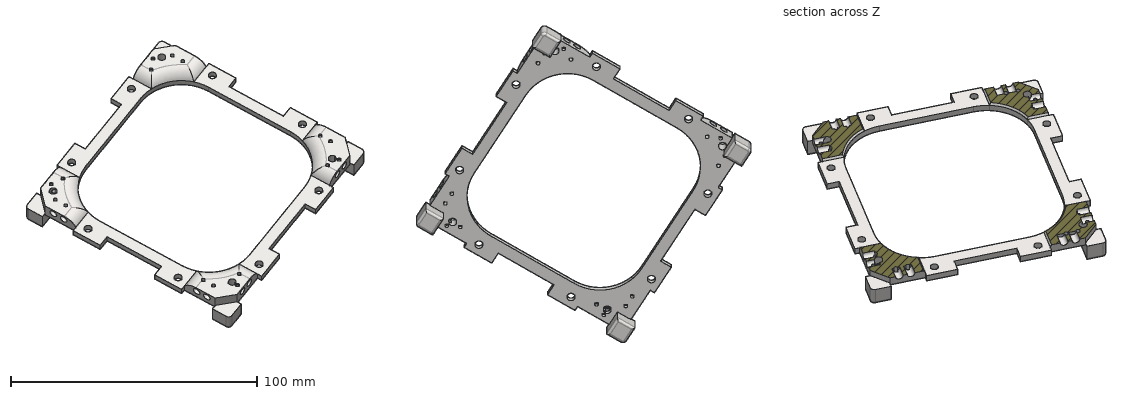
import cadquery as cq
import math

SIDE = 99.8
HALF = SIDE / 2
PLATE_HEIGHT = 3.0

OPENING_MARGIN = 10.0
OPENING_HALF = HALF - OPENING_MARGIN
OPENING_RADIUS = 20.0
OPENING_CENTRE = OPENING_HALF - OPENING_RADIUS

CORNER_INSET = 2.0
LEG_SIZE = 8.5
TAB_START = 23.5
TAB_LENGTH = 13.2
RECESS_HALF_LENGTH = HALF - TAB_START - TAB_LENGTH
RECESS_DEPTH = 5.1

PAD_HEIGHT = 6.3
ROLL_RADIUS = 6.5
ROLL_DROP = PAD_HEIGHT - PLATE_HEIGHT
ROLL_WIDTH = math.sqrt(ROLL_RADIUS**2 - (ROLL_RADIUS - ROLL_DROP) ** 2)

LEG_TOP = 1.1
LEG_BOTTOM = -7.0
LEG_CORNER_RADIUS = 1.7
LEG_FOOT_RADIUS = 1.1

HOLE_DIAMETER = 3.2
PIN_DIAMETER = 1.5
TAB_HOLE_INSET = 4.2
TAB_HOLE_SETBACK = 27.9
SIDE_HOLE_SETBACKS = (12.5, 17.5)
SIDE_HOLE_HEIGHT = 3.9
SIDE_HOLE_DEPTH = 5.0

PIN_INSET = 6.9
SIDE_PINS = [(4.5, 12.5), (PIN_INSET, 17.5)]
LEFT_PINS = SIDE_PINS + [(10.2, PIN_INSET), (15.3, PIN_INSET)]
RIGHT_PINS = SIDE_PINS + [(setback, PIN_INSET) for setback in SIDE_HOLE_SETBACKS]
LARGE_HOLE_INSET = 7.1
LARGE_HOLE_SETBACKS = {
    (-1, -1): 10.0,
    (-1, 1): 10.0,
    (1, -1): 12.5,
    (1, 1): 13.7,
}


def block(x_range, y_range, z_range):
    """Box between the given limits."""
    size = [high - low for low, high in (x_range, y_range, z_range)]
    origin = (x_range[0], y_range[0], z_range[0])
    return cq.Workplane("XY").box(*size, centered=False).translate(origin)


def upright_holes(points, diameter):
    """Vertical drills from the underside of the plate to the top of the pads."""
    return cq.Workplane("XY").pushPoints(points).circle(diameter / 2).extrude(PAD_HEIGHT)


def four_turns(shape):
    """The same shape repeated at every quarter turn about Z."""
    return [shape.rotate((0, 0, 0), (0, 0, 1), 90 * turn) for turn in range(4)]


def opening():
    """Rounded square prism that clears the middle of the frame."""
    prism = cq.Workplane("XY").rect(2 * OPENING_HALF, 2 * OPENING_HALF).extrude(PAD_HEIGHT)
    return prism.edges("|Z").fillet(OPENING_RADIUS)


def plate():
    """Thin frame with a recess in the middle of each side and stepped corners."""
    frame = cq.Workplane("XY").rect(SIDE, SIDE).extrude(PLATE_HEIGHT)
    recess = block(
        (HALF - RECESS_DEPTH, HALF),
        (-RECESS_HALF_LENGTH, RECESS_HALF_LENGTH),
        (0, PLATE_HEIGHT),
    )
    corner = block((HALF - TAB_START, HALF), (HALF - TAB_START, HALF), (0, PLATE_HEIGHT))
    for cutter in four_turns(recess.union(corner)):
        frame = frame.cut(cutter)
    return frame.cut(opening())


def roll_profile(edge, outer):
    """Pad section: full height at `outer`, falling in a tangent arc to plate height at `edge`."""
    crest = edge + ROLL_WIDTH
    half_angle = math.asin(ROLL_WIDTH / ROLL_RADIUS) / 2
    middle = (
        crest - ROLL_RADIUS * math.sin(half_angle),
        PAD_HEIGHT - ROLL_RADIUS * (1 - math.cos(half_angle)),
    )
    return (
        cq.Workplane("XZ")
        .moveTo(edge, 0)
        .lineTo(edge, PLATE_HEIGHT)
        .threePointArc(middle, (crest, PAD_HEIGHT))
        .lineTo(outer, PAD_HEIGHT)
        .lineTo(outer, 0)
        .close()
    )


def pad():
    """Raised pad of the +X +Y corner."""
    face = HALF - CORNER_INSET
    along_x = roll_profile(HALF - TAB_START, face).extrude(-face)
    along_y = along_x.rotate((0, 0, 0), (0, 0, 1), 90).mirror("YZ")
    around_opening = (
        roll_profile(OPENING_RADIUS, SIDE)
        .revolve(360, (0, 0, 0), (0, 1, 0))
        .translate((OPENING_CENTRE, OPENING_CENTRE, 0))
    )
    facet_start = HALF - LEG_SIZE
    facet_cutter = (
        cq.Workplane("XY")
        .workplane(offset=LEG_TOP)
        .polyline([(facet_start, face), (face, face), (face, facet_start)])
        .close()
        .extrude(PAD_HEIGHT - LEG_TOP)
    )
    return along_x.intersect(along_y).intersect(around_opening).cut(facet_cutter)


def leg():
    """Square leg of the +X +Y corner, with a rounded outer corner and a rounded foot."""
    span = (HALF - LEG_SIZE, HALF)
    body = block(span, span, (LEG_BOTTOM, LEG_TOP))
    body = body.edges("|Z and >X and >Y").fillet(LEG_CORNER_RADIUS)
    return body.faces("<Z").edges().fillet(LEG_FOOT_RADIUS)


def side_holes():
    """Blind holes driven inwards along X into both pads of the +X side."""
    face = HALF - CORNER_INSET
    places = [
        (sign * (HALF - setback), SIDE_HOLE_HEIGHT)
        for setback in SIDE_HOLE_SETBACKS
        for sign in (-1, 1)
    ]
    drills = cq.Workplane("YZ").workplane(offset=face - SIDE_HOLE_DEPTH).pushPoints(places)
    return drills.circle(HOLE_DIAMETER / 2).extrude(SIDE_HOLE_DEPTH)


def corner_drills():
    """Upright pin holes and one larger hole in every corner pad."""
    pins = []
    holes = []
    for (x_sign, y_sign), setback in LARGE_HOLE_SETBACKS.items():
        corner_pins = LEFT_PINS if x_sign < 0 else RIGHT_PINS
        pins += [(x_sign * (HALF - x), y_sign * (HALF - y)) for x, y in corner_pins]
        holes.append((x_sign * (HALF - LARGE_HOLE_INSET), y_sign * (HALF - setback)))
    return upright_holes(pins, PIN_DIAMETER).union(upright_holes(holes, HOLE_DIAMETER))


def tab_drills():
    """Upright holes in the two tabs of the +X side."""
    x = HALF - TAB_HOLE_INSET
    y = HALF - TAB_HOLE_SETBACK
    return upright_holes([(x, -y), (x, y)], HOLE_DIAMETER)


result = plate()
for corner_body in four_turns(pad().union(leg())):
    result = result.union(corner_body)
for drill in four_turns(side_holes().union(tab_drills())):
    result = result.cut(drill)
result = result.cut(corner_drills())